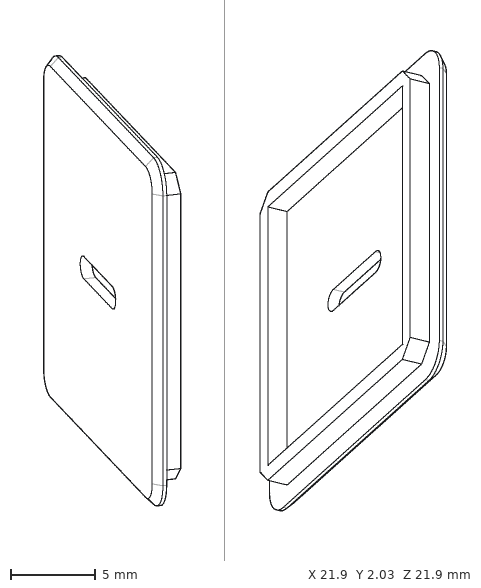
import cadquery as cq

plate_side = 21.85
plate_thickness = 0.75
corner_radius = 1.8
bevel_inset = 0.5
bevel_depth = 0.5

total_depth = 2.03
rim_side = 19.3
rim_corner_cut = 1.0
rim_wall = 1.0
rim_height = total_depth - plate_thickness

slot_length = 6.8
slot_width = 1.4
slot_center_z = -0.05

front_y = -total_depth / 2
plate_back_y = front_y + plate_thickness


def square_prism(side, start_y, depth):
    """Square prism centred on the Y axis, growing toward +Y."""
    return cq.Workplane("XY").box(side, depth, side).translate((0, start_y + depth / 2, 0))


def make_plate():
    plate = square_prism(plate_side, front_y, plate_thickness)
    plate = plate.edges("|Y").fillet(corner_radius)
    return plate.faces("<Y").chamfer(bevel_depth, bevel_inset)


def make_rim():
    rim = square_prism(rim_side, plate_back_y, rim_height)
    rim = rim.edges("|Y").chamfer(rim_corner_cut)
    recess = square_prism(rim_side - 2 * rim_wall, plate_back_y, rim_height)
    return rim.cut(recess)


def make_slot():
    slot = cq.Workplane("XZ").center(0, slot_center_z).slot2D(slot_length, slot_width)
    return slot.extrude(total_depth, both=True)


result = make_plate().union(make_rim()).cut(make_slot())